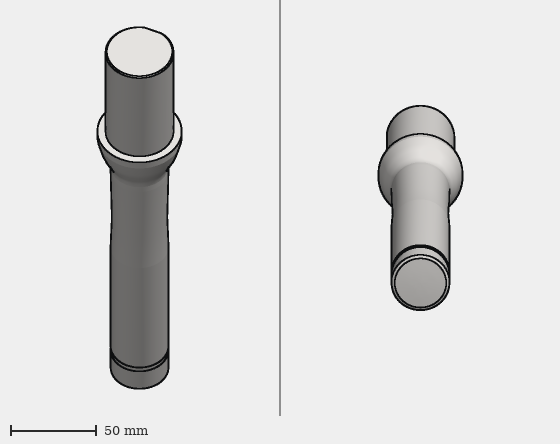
import cadquery as cq

total_height = 279.0
cap_height = 16.7
groove_top = 20.0
barrel_top = 107.7
waist_bottom = 111.0
waist_top = 164.0
neck_bottom = 174.6
neck_top = 178.8
flare_throat_height = 185.0
flare_bend_height = 189.2
collar_bottom = 204.0
collar_top = 209.2

barrel_radius = 34.0 / 2
waist_radius = 33.8 / 2
groove_radius = waist_radius
flare_throat_radius = 18.5
flare_bend_radius = 20.5
collar_radius = 49.5 / 2
shank_radius = 40.0 / 2

cap_chamfer_width = 2.0
cap_chamfer_height = 0.8
shank_chamfer = 0.8

dome_height = 0.5

flare_end_direction = (0.2, 1)

flat_distance = 18.5
flat_start = 212.5


def revolve_outline(outline):
    """Revolve a closed (radius, height) outline about the Z axis."""
    return outline.close().revolve(360, (0, 0, 0), (0, 1, 0))


def make_end_cap():
    rim_radius = barrel_radius - cap_chamfer_width
    dome_middle = (rim_radius / 2, dome_height / 4)
    outline = (
        cq.Workplane("XZ")
        .threePointArc(dome_middle, (rim_radius, dome_height))
        .lineTo(barrel_radius, dome_height + cap_chamfer_height)
        .lineTo(barrel_radius, cap_height)
        .lineTo(0, cap_height)
    )
    return revolve_outline(outline)


def make_shank_flat_cutter():
    depth = shank_radius - flat_distance
    outer = shank_radius + depth
    run_out = outer - flat_distance
    return (
        cq.Workplane("YZ")
        .polyline([
            (flat_distance, flat_start + run_out),
            (outer, flat_start),
            (outer, total_height),
            (flat_distance, total_height),
        ])
        .close()
        .extrude(shank_radius, both=True)
    )


def make_handle():
    upward = (0, 1)
    outline = (
        cq.Workplane("XZ")
        .moveTo(0, cap_height)
        .lineTo(groove_radius, cap_height)
        .lineTo(groove_radius, groove_top)
        .lineTo(barrel_radius, groove_top)
        .lineTo(barrel_radius, barrel_top)
        .spline(
            [(waist_radius, waist_bottom), (waist_radius, waist_top), (barrel_radius, neck_bottom)],
            tangents=[upward, upward],
            includeCurrent=True,
        )
        .lineTo(barrel_radius, neck_top)
        .spline(
            [
                (flare_throat_radius, flare_throat_height),
                (flare_bend_radius, flare_bend_height),
                (collar_radius, collar_bottom),
            ],
            tangents=[upward, flare_end_direction],
            includeCurrent=True,
        )
        .lineTo(collar_radius, collar_top)
        .lineTo(shank_radius, collar_top)
        .lineTo(shank_radius, total_height - shank_chamfer)
        .lineTo(shank_radius - shank_chamfer, total_height)
        .lineTo(0, total_height)
    )
    handle = revolve_outline(outline)
    return handle.cut(make_shank_flat_cutter())


end_cap = make_end_cap()
handle = make_handle()

result = cq.Compound.makeCompound([end_cap.val(), *handle.solids().vals()])